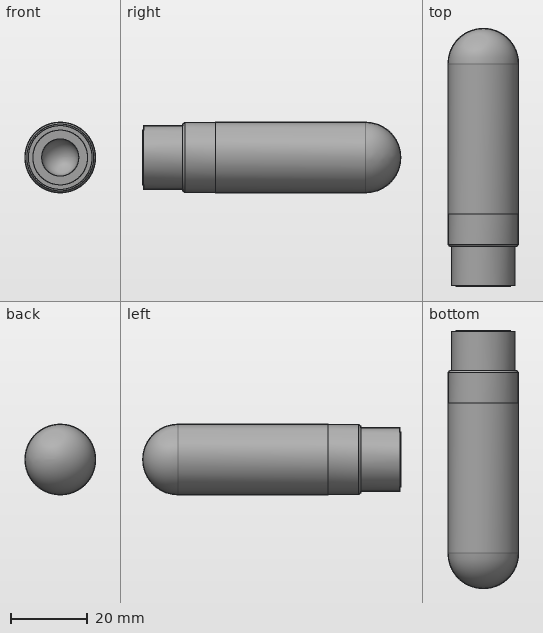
import cadquery as cq

total_length = 67.5
body_diameter = 18.5
collar_diameter = 18.4
spigot_diameter = 16.7
lip_diameter = 14.3
bore_diameter = 9.7

lip_height = 0.3
shoulder_y = 10.45
collar_length = 8.6
chamfer_width = 0.5
chamfer_length = 0.6

body_radius = body_diameter / 2
collar_radius = collar_diameter / 2
spigot_radius = spigot_diameter / 2
lip_radius = lip_diameter / 2
bore_radius = bore_diameter / 2
collar_end_y = shoulder_y + collar_length
dome_center_y = total_length - body_radius
diagonal = 0.5 ** 0.5


def revolve_about_y(profile):
    return profile.close().revolve(360, (0, 0, 0), (0, 1, 0))


outer = revolve_about_y(
    cq.Workplane("XY")
    .lineTo(lip_radius, 0)
    .lineTo(lip_radius, lip_height)
    .lineTo(spigot_radius, lip_height)
    .lineTo(spigot_radius, shoulder_y)
    .lineTo(collar_radius - chamfer_width, shoulder_y)
    .lineTo(collar_radius, shoulder_y + chamfer_length)
    .lineTo(collar_radius, collar_end_y)
    .lineTo(body_radius, collar_end_y)
    .lineTo(body_radius, dome_center_y)
    .threePointArc(
        (body_radius * diagonal, dome_center_y + body_radius * diagonal),
        (0, total_length),
    )
)

bore = revolve_about_y(
    cq.Workplane("XY")
    .lineTo(bore_radius, 0)
    .lineTo(bore_radius, dome_center_y)
    .threePointArc(
        (bore_radius * diagonal, dome_center_y + bore_radius * diagonal),
        (0, dome_center_y + bore_radius),
    )
)

result = outer.cut(bore)